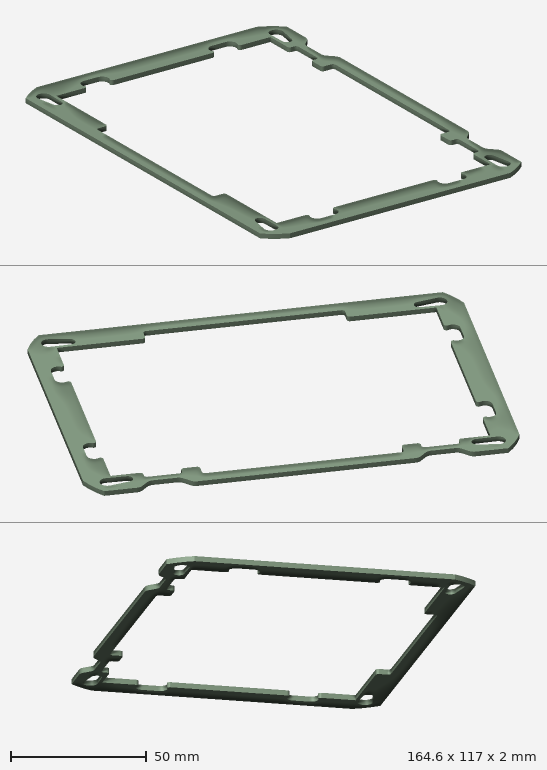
import cadquery as cq
import math

LENGTH = 164.6
WIDTH = 117.0
THICKNESS = 2.0
HALF_LENGTH = LENGTH / 2
HALF_WIDTH = WIDTH / 2

CORNER_X = 6.1
CORNER_Y = 9.2
CORNER_BULGE = 0.5

SIDE_RAIL = 10.7
END_RAIL = 10.5
THIN_RAIL = 5.3
WIDE_BAY_HALF_LENGTH = 38.0
BAY_FILLET = 1.2

NECK_X = 52.5
NECK_DEPTH = 4.1
NECK_FLOOR = 11.9
NECK_FILLET = 3.3
SMALL_BAY_X = 52.3
SMALL_BAY_LENGTH = 14.3
SMALL_BAY_RAIL = 7.0

POCKET_Y = 28.6
POCKET_RAIL = 5.1
POCKET_LENGTH = 11.9
POCKET_CORNER_RADIUS = 2.8
POCKET_MOUTH = 10.9
POCKET_LIP_FILLET = 1.2

SLOT_BIG_RADIUS = 2.8
SLOT_BIG_INSET = (8.5, 6.5)
SLOT_SMALL_RADIUS = 2.0
SLOT_SMALL_INSET = (16.5, 7.0)

SIDES = (-1, 1)


def block(x_min, x_max, y_min, y_max):
    """Full-thickness rectangular block between the given limits."""
    return (
        cq.Workplane("XY")
        .center((x_min + x_max) / 2, (y_min + y_max) / 2)
        .rect(x_max - x_min, y_max - y_min)
        .extrude(THICKNESS)
    )


def disc(x, y, radius):
    return cq.Workplane("XY").center(x, y).circle(radius).extrude(THICKNESS)


def both_sides(shape):
    """The shape together with its mirror image across the YZ plane."""
    return shape.union(shape.mirror("YZ"))


def fillet_uprights(body, points, radius):
    """Round the vertical edges that stand at the given XY points."""
    for x, y in points:
        nearest = cq.selectors.NearestToPointSelector((x, y, THICKNESS / 2))
        body = body.edges("|Z").edges(nearest).fillet(radius)
    return body


def corner_middle(sx, sy):
    """Outermost point of the bowed corner in the given quadrant."""
    chord = math.hypot(CORNER_X, CORNER_Y)
    x = HALF_LENGTH - CORNER_X / 2 + CORNER_BULGE * CORNER_Y / chord
    y = HALF_WIDTH - CORNER_Y / 2 + CORNER_BULGE * CORNER_X / chord
    return (sx * x, sy * y)


def plate():
    flat_x = HALF_LENGTH - CORNER_X
    flat_y = HALF_WIDTH - CORNER_Y
    return (
        cq.Workplane("XY")
        .moveTo(-flat_x, -HALF_WIDTH)
        .lineTo(flat_x, -HALF_WIDTH)
        .threePointArc(corner_middle(1, -1), (HALF_LENGTH, -flat_y))
        .lineTo(HALF_LENGTH, flat_y)
        .threePointArc(corner_middle(1, 1), (flat_x, HALF_WIDTH))
        .lineTo(-flat_x, HALF_WIDTH)
        .threePointArc(corner_middle(-1, 1), (-HALF_LENGTH, flat_y))
        .lineTo(-HALF_LENGTH, -flat_y)
        .threePointArc(corner_middle(-1, -1), (-flat_x, -HALF_WIDTH))
        .close()
        .extrude(THICKNESS)
    )


def side_pocket(sy):
    """Pocket in the +X rail: a narrower mouth with two round inner corners."""
    y = sy * POCKET_Y
    mouth_x = HALF_LENGTH - SIDE_RAIL
    floor_x = HALF_LENGTH - POCKET_RAIL
    round_x = floor_x - POCKET_CORNER_RADIUS
    round_dy = POCKET_LENGTH / 2 - POCKET_CORNER_RADIUS
    pocket = block(0, round_x, y - POCKET_MOUTH / 2, y + POCKET_MOUTH / 2)
    pocket = pocket.union(block(mouth_x, floor_x, y - round_dy, y + round_dy))
    for side in SIDES:
        pocket = pocket.union(disc(round_x, y + side * round_dy, POCKET_CORNER_RADIUS))
    return pocket


def opening():
    """Everything removed from the middle of the frame."""
    inner_x = HALF_LENGTH - SIDE_RAIL
    inner_y = HALF_WIDTH - END_RAIL
    bay_y = HALF_WIDTH - THIN_RAIL
    small_bay_y = HALF_WIDTH - SMALL_BAY_RAIL
    small_bay_start = SMALL_BAY_X - SMALL_BAY_LENGTH / 2
    small_bay_end = SMALL_BAY_X + SMALL_BAY_LENGTH / 2

    body = block(-inner_x, inner_x, -inner_y, inner_y)
    body = body.union(block(-WIDE_BAY_HALF_LENGTH, WIDE_BAY_HALF_LENGTH, -bay_y, bay_y))
    body = body.union(both_sides(block(small_bay_start, small_bay_end, 0, small_bay_y)))
    for sy in SIDES:
        body = body.union(both_sides(side_pocket(sy)))

    bay_corners = []
    pocket_lips = []
    for sx in SIDES:
        for x in (small_bay_start, small_bay_end):
            bay_corners += [(sx * x, small_bay_y), (sx * x, inner_y)]
        for sy in SIDES:
            for y in (bay_y, inner_y):
                bay_corners.append((sx * WIDE_BAY_HALF_LENGTH, sy * y))
            for edge in SIDES:
                pocket_lips.append((sx * inner_x, sy * POCKET_Y + edge * POCKET_MOUTH / 2))
    body = fillet_uprights(body, bay_corners, BAY_FILLET)
    return fillet_uprights(body, pocket_lips, POCKET_LIP_FILLET)


def cut_necks(body):
    """Notch the +Y edge twice, with 45 degree flanks and rounded bends."""
    floor_y = HALF_WIDTH - NECK_DEPTH
    floor_half = NECK_FLOOR / 2
    top_half = floor_half + NECK_DEPTH
    for sx in SIDES:
        x = sx * NECK_X
        bends = [
            (x - top_half, HALF_WIDTH),
            (x - floor_half, floor_y),
            (x + floor_half, floor_y),
            (x + top_half, HALF_WIDTH),
        ]
        notch = cq.Workplane("XY").polyline(bends).close().extrude(THICKNESS)
        body = fillet_uprights(body.cut(notch), bends, NECK_FILLET)
    return body


def corner_slot(sx, sy):
    """Slot with two round ends of different radius joined by tangent sides."""
    big_x = HALF_LENGTH - SLOT_BIG_INSET[0]
    big_y = HALF_WIDTH - SLOT_BIG_INSET[1]
    small_x = HALF_LENGTH - SLOT_SMALL_INSET[0]
    small_y = HALF_WIDTH - SLOT_SMALL_INSET[1]
    distance = math.hypot(small_x - big_x, small_y - big_y)
    axis = math.atan2(small_y - big_y, small_x - big_x)
    spread = math.acos((SLOT_BIG_RADIUS - SLOT_SMALL_RADIUS) / distance)

    def on_big(angle):
        x = big_x + SLOT_BIG_RADIUS * math.cos(angle)
        y = big_y + SLOT_BIG_RADIUS * math.sin(angle)
        return (sx * x, sy * y)

    def on_small(angle):
        x = small_x + SLOT_SMALL_RADIUS * math.cos(angle)
        y = small_y + SLOT_SMALL_RADIUS * math.sin(angle)
        return (sx * x, sy * y)

    return (
        cq.Workplane("XY")
        .moveTo(*on_big(axis + spread))
        .threePointArc(on_big(axis + math.pi), on_big(axis - spread))
        .lineTo(*on_small(axis - spread))
        .threePointArc(on_small(axis), on_small(axis + spread))
        .close()
        .extrude(THICKNESS)
    )


result = cut_necks(plate().cut(opening()))
for side_x in SIDES:
    for side_y in SIDES:
        result = result.cut(corner_slot(side_x, side_y))